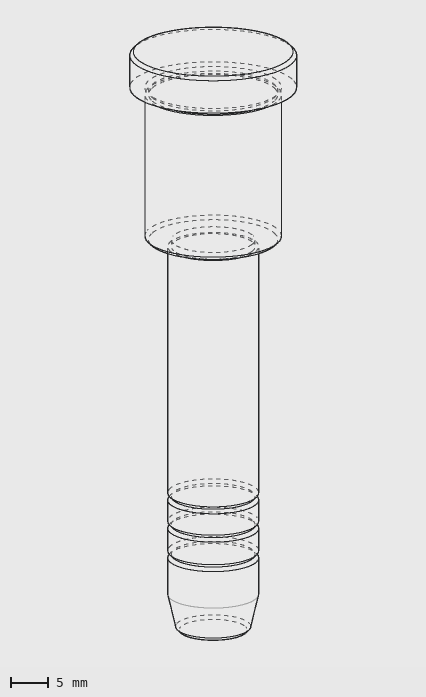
import cadquery as cq

length = 80.0
edge_chamfer = 0.5

head_radius = 22.0 / 2
head_height = 5.0
head_bottom = length - head_height

body_radius = 18.0 / 2
body_bottom = length - 26.0
relief_width = 1.0
relief_depth = 0.5
relief_radius = body_radius - relief_depth

neck_radius = 11.0 / 2
neck_height = 1.0
shaft_radius = 12.0 / 2
shaft_top = body_bottom - neck_height

groove_heights = (18.5, 14.6, 10.5)
groove_depth = 0.5

tip_height = 5.0
tip_radius = 5.0
tip_chamfer = 0.5


def make_pin():
    """Revolve the half profile, from the tip up to the head."""
    profile = (
        cq.Workplane("XZ")
        .lineTo(tip_radius - tip_chamfer, 0)
        .lineTo(tip_radius, tip_chamfer)
        .lineTo(shaft_radius, tip_height)
        .lineTo(shaft_radius, shaft_top)
        .lineTo(neck_radius, shaft_top)
        .lineTo(neck_radius, body_bottom)
        .lineTo(body_radius - edge_chamfer, body_bottom)
        .lineTo(body_radius, body_bottom + edge_chamfer)
        .lineTo(body_radius, head_bottom - relief_width)
        .lineTo(relief_radius, head_bottom - relief_width)
        .lineTo(relief_radius, head_bottom - relief_depth)
        .lineTo(body_radius, head_bottom)
        .lineTo(head_radius, head_bottom)
        .lineTo(head_radius, length - edge_chamfer)
        .lineTo(head_radius - edge_chamfer, length)
        .lineTo(0, length)
        .close()
    )
    return profile.revolve(360, (0, 0, 0), (0, 1, 0))


def make_groove(height):
    """Ring with a 90 degree V section whose point reaches groove_depth into the shaft."""
    section = (
        cq.Workplane("XZ")
        .moveTo(shaft_radius - groove_depth, height)
        .lineTo(shaft_radius + groove_depth, height + 2 * groove_depth)
        .lineTo(shaft_radius + groove_depth, height - 2 * groove_depth)
        .close()
    )
    return section.revolve(360, (0, 0, 0), (0, 1, 0))


result = make_pin()
for groove_height in groove_heights:
    result = result.cut(make_groove(groove_height))